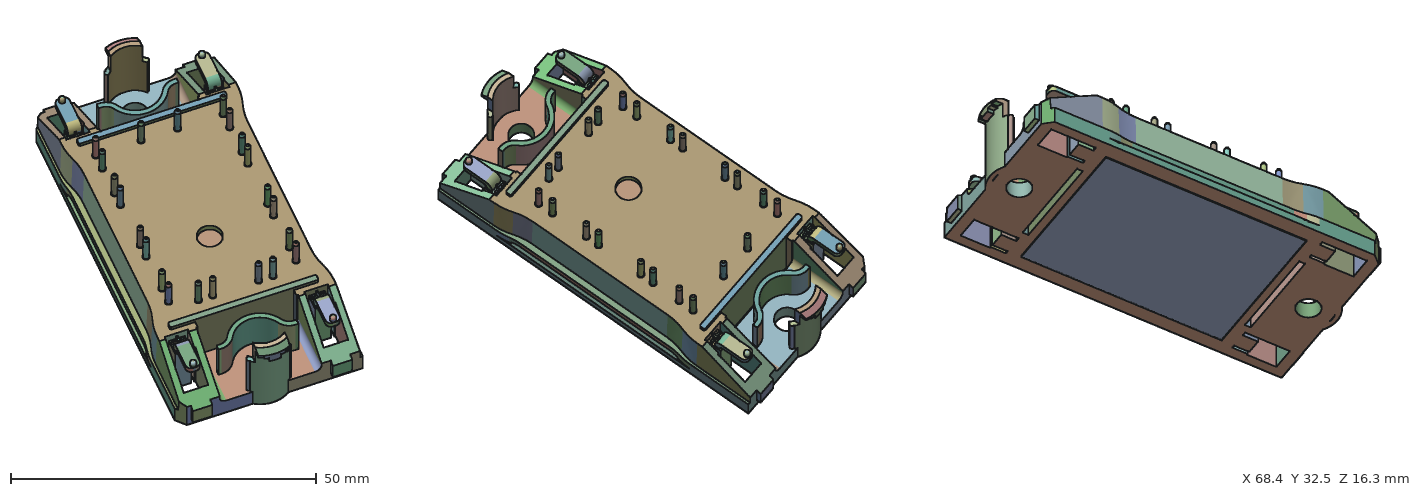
import cadquery as cq
import math

LENGTH = 68.4
WIDTH = 32.5
TOTAL_HEIGHT = 16.3

BASE_Z = 0.2
SILL_Z = 1.7
STEP_Z = 3.5
TOP_Z = 11.1

HALF_LENGTH = 32.1
HALF_WIDTH = WIDTH / 2
CORNER_X = 1.65
CORNER_Y = 1.5
DRAFT = 1.8
UPPER_HALF_WIDTH = 15.8
WAIST_DEPTH = 1.15
WAIST_OUTER_X = 21.0
WAIST_INNER_X = 13.95
GROOVE_DEPTH = 0.5
GROOVE_OUTER_X = 19.9
GROOVE_INNER_X = 15.4
SILL_HALF_LENGTH = 17.25
SILL_HEIGHT = 0.55

PLATE_HALF_LENGTH = 19.1
PLATE_HALF_WIDTH = 13.55

SLOPE_X = 22.0
SLOPE_ANGLE = 30.3
BAY_HALF_WIDTH = 8.95
BAY_FILLET = 1.15
SLOT_OUTER_X = 21.7
SLOT_HALF_WIDTH = 8.7

WINDOW_OUTER_X = 30.0
WINDOW_INNER_X = 21.55
WINDOW_Y = 12.3
WINDOW_WIDTH = 4.3

EAR_X = 32.9
EAR_WIDTH = 3.4
EAR_BOTTOM_Z = 1.65

ARM_WIDTH = 2.45
ARM_TOP_Z = 11.5
ARM_THICKNESS = 1.0
ARM_OUTER_X = 29.4
ARM_INNER_X = 23.05
ARM_BEND_RADIUS = 1.4
ARM_TIP_RADIUS = 0.95
ARM_INNER_BEND_RADIUS = 0.8
LUG_WIDTH = 2.8
LUG_TOP_Z = 9.6
LUG_OUTER_X = 24.4
RIB_THICKNESS = 0.35
RIB_HEIGHT = 0.7
RAIL_THICKNESS = 0.2
STUD_X = 28.8
STUD_DIAMETER = 1.1
STUD_CYLINDER = 0.55
STUD_HEIGHT = 0.95

HOLE_X = 27.5
HOLE_DIAMETER = 4.3
GUIDE_THICKNESS = 0.9
GUIDE_RADIUS = 5.0
GUIDE_BEND_RADIUS = 2.45
GUIDE_STRAIGHT_X = 26.3
GUIDE_HALF_WIDTH = 7.05
GUIDE_TOP_Z = 10.45

TOWER_INNER_RADIUS = 4.65
TOWER_OUTER_RADIUS = 5.55
TOWER_HALF_WIDTH = 2.8
TOWER_TOP_Z = 15.9
TOWER_FOOT_HALF_WIDTH = 3.15
TOWER_FOOT_TOP_Z = 8.0
FLANGE_TOP_Z = 11.75
FLANGE_CENTRE_Y = 3.5
HOOK_RADIUS = LENGTH / 2 - HOLE_X
HOOK_BOTTOM_Z = 13.5
HOOK_EDGE_Z = 15.2
HOOK_STEPS = [(TOWER_HALF_WIDTH, 14.7), (1.85, 14.3), (1.0, HOOK_BOTTOM_Z)]

STRIP_X = 20.05
STRIP_WIDTH = 1.1
STRIP_CORNER = 0.2
STRIP_LENGTH = 26.1
STRIP_HEIGHT = 0.7
BLOCK_END_X = STRIP_X + STRIP_WIDTH / 2
VENT_X = 5.35
VENT_DIAMETER = 4.3
VENT_DEPTH = 1.1

PIN_DIAMETER = 1.0
PIN_TIP_LENGTH = 0.55
PIN_TIP_CHAMFER = 0.3
COLLAR_DIAMETER = 1.2
COLLAR_HEIGHT = 0.1
ROW_Y = 11.2
ROW_X = [-16.75, -13.9, -8.5, -5.95, 2.8, 5.35, 12.3, 15.2]
LEFT_PIN_X = -16.8
LEFT_PIN_Y = [3.2]
RIGHT_PIN_X = 16.7
RIGHT_PIN_Y = [4.05, 6.6]


def box(x0, x1, y0, y1, z0, z1):
    """Box between two corners."""
    return cq.Workplane("XY").box(x1 - x0, y1 - y0, z1 - z0, centered=False).translate((x0, y0, z0))


def post(x, y, z, diameter, height):
    """Upright cylinder."""
    return cq.Workplane("XY", origin=(x, y, z)).circle(diameter / 2).extrude(height)


def both_y(shape):
    """The shape together with its mirror image in Y."""
    return shape.union(shape.mirror("XZ"))


def waisted_outline(z, half_length, edge_y, depth, outer_x, inner_x):
    """Rectangle whose long sides bow inward through S-curves of two tangent arcs."""
    waist_y = edge_y - depth
    mid_x = (outer_x + inner_x) / 2
    mid_y = edge_y - depth / 2
    outline = cq.Workplane("XY", origin=(0, 0, z)).moveTo(-half_length, -edge_y)
    for s in (-1, 1):
        outline = (
            outline.lineTo(s * outer_x, s * edge_y)
            .tangentArcPoint((s * mid_x, s * mid_y), relative=False)
            .tangentArcPoint((s * inner_x, s * waist_y), relative=False)
            .lineTo(-s * inner_x, s * waist_y)
            .tangentArcPoint((-s * mid_x, s * mid_y), relative=False)
            .tangentArcPoint((-s * outer_x, s * edge_y), relative=False)
            .lineTo(-s * half_length, s * edge_y)
        )
        if s < 0:
            outline = outline.lineTo(half_length, edge_y)
    return outline.close()


def slope_z(x):
    """Height of the sloped end at a distance x from the middle."""
    return TOP_Z - (x - SLOPE_X) * math.tan(math.radians(SLOPE_ANGLE))


def above_slope():
    """Space above the -X slope, reaching past the end."""
    return (
        cq.Workplane("XZ")
        .polyline([(-SLOPE_X, TOP_Z), (-LENGTH, slope_z(LENGTH)), (-LENGTH, TOP_Z)])
        .close()
        .extrude(HALF_WIDTH * 2, both=True)
    )


def housing():
    lower = box(-HALF_LENGTH, HALF_LENGTH, -HALF_WIDTH, HALF_WIDTH, BASE_Z, SILL_Z)
    groove_band = waisted_outline(
        SILL_Z, HALF_LENGTH, HALF_WIDTH, GROOVE_DEPTH, GROOVE_OUTER_X, GROOVE_INNER_X
    ).extrude(STEP_Z - SILL_Z)
    upper = waisted_outline(
        STEP_Z, LENGTH / 2, UPPER_HALF_WIDTH, WAIST_DEPTH, WAIST_OUTER_X, WAIST_INNER_X
    ).extrude(TOP_Z - STEP_Z, taper=DRAFT)
    groove_y = HALF_WIDTH - GROOVE_DEPTH
    sill = (
        cq.Workplane("YZ", origin=(-SILL_HALF_LENGTH, 0, 0))
        .polyline([(groove_y, SILL_Z), (HALF_WIDTH, SILL_Z), (groove_y, SILL_Z + SILL_HEIGHT)])
        .close()
        .extrude(2 * SILL_HALF_LENGTH)
    )
    plan = (
        cq.Workplane("XY")
        .polyline([
            (-HALF_LENGTH, HALF_WIDTH),
            (-HALF_LENGTH, -HALF_WIDTH + CORNER_Y),
            (-HALF_LENGTH + CORNER_X, -HALF_WIDTH),
            (HALF_LENGTH - CORNER_X, -HALF_WIDTH),
            (HALF_LENGTH, -HALF_WIDTH + CORNER_Y),
            (HALF_LENGTH, HALF_WIDTH),
        ])
        .close()
        .extrude(TOP_Z)
    )
    return lower.union(groove_band).union(upper).union(both_y(sill)).intersect(plan)


def end_openings():
    """Everything removed at the -X end: slope, bay, slot, windows and mounting hole."""
    bay = (
        box(-LENGTH, -SLOT_OUTER_X, -BAY_HALF_WIDTH, BAY_HALF_WIDTH, STEP_Z, TOTAL_HEIGHT)
        .edges("|X and <Z")
        .fillet(BAY_FILLET)
    )
    slot = box(-SLOT_OUTER_X, -BLOCK_END_X, -SLOT_HALF_WIDTH, SLOT_HALF_WIDTH, 0, TOP_Z)
    window = box(
        -WINDOW_OUTER_X, -WINDOW_INNER_X, WINDOW_Y - WINDOW_WIDTH / 2, WINDOW_Y + WINDOW_WIDTH / 2, 0, TOP_Z
    )
    hole = post(-HOLE_X, 0, 0, HOLE_DIAMETER, STEP_Z)
    return above_slope().union(bay).union(slot).union(both_y(window)).union(hole)


def ears():
    half = EAR_WIDTH / 2
    ear = box(-EAR_X, -HALF_LENGTH, WINDOW_Y - half, WINDOW_Y + half, EAR_BOTTOM_Z, TOP_Z)
    return both_y(ear.cut(above_slope()))


def terminals():
    half = ARM_WIDTH / 2
    arm_bottom = ARM_TOP_Z - ARM_THICKNESS
    strip = (
        box(-ARM_OUTER_X, -ARM_INNER_X, -half, half, BASE_Z, ARM_TOP_Z)
        .edges("|Y and >X and >Z")
        .fillet(ARM_BEND_RADIUS)
        .edges("|Z and <X")
        .fillet(ARM_TIP_RADIUS)
    )
    strip = strip.cut(
        box(-LENGTH, -ARM_INNER_X - ARM_THICKNESS, -half, half, 0, arm_bottom)
        .edges("|Y and >X and >Z")
        .fillet(ARM_INNER_BEND_RADIUS)
    )
    lug_half = LUG_WIDTH / 2
    lug = box(-LUG_OUTER_X, -WINDOW_INNER_X, -lug_half, lug_half, BASE_Z, LUG_TOP_Z)
    rib_half = RIB_THICKNESS / 2
    rib_top = LUG_TOP_Z + RIB_HEIGHT
    rib = box(-ARM_INNER_X, -WINDOW_INNER_X, -rib_half, rib_half, LUG_TOP_Z, rib_top)
    cross_x = -(ARM_INNER_X + WINDOW_INNER_X) / 2
    cross_rib = box(cross_x - rib_half, cross_x + rib_half, -half, half, LUG_TOP_Z, rib_top)
    stud = post(-STUD_X, 0, ARM_TOP_Z, STUD_DIAMETER, STUD_HEIGHT)
    stud = stud.faces(">Z").edges().fillet(STUD_HEIGHT - STUD_CYLINDER)
    window_wall = WINDOW_WIDTH / 2
    rail = box(-LUG_OUTER_X, -WINDOW_INNER_X, window_wall - RAIL_THICKNESS, window_wall, BASE_Z, TOP_Z)
    rail = rail.cut(above_slope())
    terminal = strip.union(lug).union(rib).union(cross_rib).union(stud).union(rail)
    return terminal.translate((0, WINDOW_Y, 0)).union(terminal.translate((0, -WINDOW_Y, 0)))


def guide_wall():
    """S-shaped wall: an arc around the mounting hole running out through reversed bends."""
    span_x = HOLE_X - GUIDE_STRAIGHT_X + GUIDE_BEND_RADIUS
    span = GUIDE_RADIUS + GUIDE_BEND_RADIUS
    bend_angle = math.acos(span_x / span)
    bend_y = span * math.sin(bend_angle)

    def filled(offset):
        """Area on the hole side of the wall face at this offset from the centre line."""
        radius = GUIDE_RADIUS + offset
        straight_x = -GUIDE_STRAIGHT_X + offset
        join_x = -HOLE_X + radius * math.cos(bend_angle)
        join_y = radius * math.sin(bend_angle)
        return (
            cq.Workplane("XY", origin=(0, 0, STEP_Z))
            .moveTo(-HOLE_X, GUIDE_HALF_WIDTH)
            .lineTo(straight_x, GUIDE_HALF_WIDTH)
            .lineTo(straight_x, bend_y)
            .tangentArcPoint((join_x, join_y), relative=False)
            .tangentArcPoint((join_x, -join_y), relative=False)
            .tangentArcPoint((straight_x, -bend_y), relative=False)
            .lineTo(straight_x, -GUIDE_HALF_WIDTH)
            .lineTo(-HOLE_X, -GUIDE_HALF_WIDTH)
            .close()
            .extrude(GUIDE_TOP_Z - STEP_Z)
        )

    return filled(GUIDE_THICKNESS / 2).cut(filled(-GUIDE_THICKNESS / 2))


def snap_tower():
    def ring_sector(half_width, bottom_z, top_z):
        ring = (
            cq.Workplane("XY", origin=(-HOLE_X, 0, bottom_z))
            .circle(TOWER_OUTER_RADIUS)
            .circle(TOWER_INNER_RADIUS)
            .extrude(top_z - bottom_z)
        )
        return ring.intersect(box(-LENGTH, -HOLE_X, -half_width, half_width, bottom_z, top_z))

    column = ring_sector(TOWER_HALF_WIDTH, BASE_Z, TOWER_TOP_Z)
    foot = ring_sector(TOWER_FOOT_HALF_WIDTH, BASE_Z, TOWER_FOOT_TOP_Z)
    flange = ring_sector(FLANGE_CENTRE_Y, STEP_Z, FLANGE_TOP_Z)

    wall = TOWER_OUTER_RADIUS - TOWER_INNER_RADIUS
    middle_radius = TOWER_INNER_RADIUS + wall / 2
    edge_x = HOLE_X + math.sqrt(middle_radius**2 - FLANGE_CENTRE_Y**2)
    edge = post(-edge_x, FLANGE_CENTRE_Y, STEP_Z, wall, FLANGE_TOP_Z - STEP_Z)

    hook = (
        cq.Workplane("XZ", origin=(-HOLE_X, 0, 0))
        .polyline([
            (-middle_radius, HOOK_BOTTOM_Z),
            (-HOOK_RADIUS, HOOK_BOTTOM_Z),
            (-HOOK_RADIUS, HOOK_EDGE_Z),
            (-TOWER_OUTER_RADIUS, TOWER_TOP_Z),
            (-middle_radius, TOWER_TOP_Z),
        ])
        .close()
        .revolve(360, (0, 0, 0), (0, 1, 0))
    )
    hook_front = cq.Workplane("XY")
    for half_width, bottom_z in HOOK_STEPS:
        hook_front = hook_front.union(box(-LENGTH, -HOLE_X, -half_width, half_width, bottom_z, TOWER_TOP_Z))
    return column.union(foot).union(flange).union(both_y(edge)).union(hook.intersect(hook_front))


def top_strip():
    half_length = STRIP_LENGTH / 2
    strip = box(
        -BLOCK_END_X, -BLOCK_END_X + STRIP_WIDTH, -half_length, half_length, TOP_Z, TOP_Z + STRIP_HEIGHT
    )
    return strip.edges("|Z").chamfer(STRIP_CORNER)


def pin(x, y):
    shaft = post(x, y, TOP_Z, PIN_DIAMETER, TOTAL_HEIGHT - TOP_Z)
    shaft = shaft.faces(">Z").chamfer(PIN_TIP_LENGTH, PIN_TIP_CHAMFER)
    return shaft.union(post(x, y, TOP_Z, COLLAR_DIAMETER, COLLAR_HEIGHT))


def both_ends(shape):
    """The shape together with its mirror image at the +X end."""
    return shape.union(shape.mirror("YZ"))


plate = box(
    -PLATE_HALF_LENGTH, PLATE_HALF_LENGTH, -PLATE_HALF_WIDTH, PLATE_HALF_WIDTH, 0, BASE_Z
)
vent = post(VENT_X, 0, TOP_Z - VENT_DEPTH, VENT_DIAMETER, VENT_DEPTH)

result = housing().cut(both_ends(end_openings())).cut(vent).union(plate)
for end_part in (ears(), terminals(), guide_wall(), snap_tower(), top_strip()):
    result = result.union(both_ends(end_part))

pin_places = [(x, ROW_Y) for x in ROW_X]
pin_places += [(LEFT_PIN_X, y) for y in LEFT_PIN_Y]
pin_places += [(RIGHT_PIN_X, y) for y in RIGHT_PIN_Y]
for x, y in pin_places:
    result = result.union(both_y(pin(x, y)))